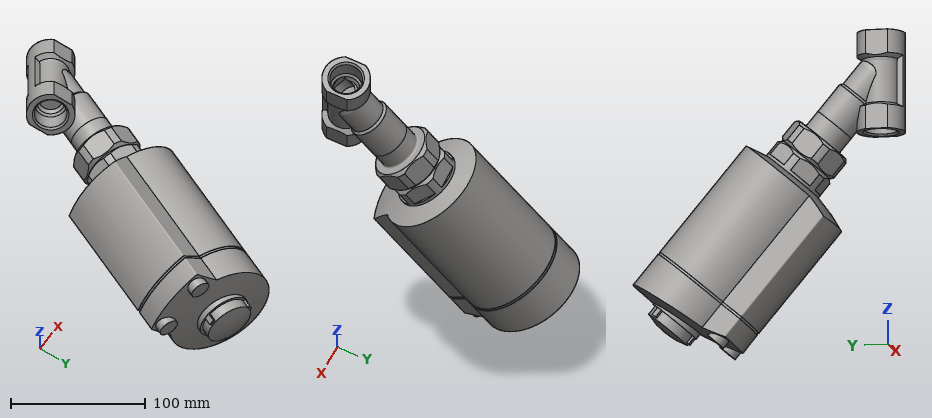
import cadquery as cq
TILT = 40.2

PIPE_CENTRE_Z = -11.6
PIPE_HALF_LENGTH = 37.5
COLLAR_DIA = 36.0
COLLAR_FLATS = 32.0
COLLAR_INNER_Z = 19.7
COLLAR_SLOPE = 2.5
BARREL_DIA = 27.3
SHOULDER_DIA = 28.5
SHOULDER_HEIGHT = 2.5
WEB_WIDTH = 9.0

PORT_DIA = 24.2
PORT_CHAMFER = 1.5
PORT_DEPTH = 15.5
PORT_STEP_DIA = 20.7
PORT_STEP_DEPTH = 17.0
PORT_TIP_DIA = 17.5
PORT_TIP_DEPTH = 20.5
SEAT_DIA = 17.3
SEAT_DEPTH = 2.0
SEAT_HEIGHT = 14.3

NECK_DIA = 28.7
NECK_END_DIA = 26.1
NECK_TOP = 2.0
NECK_CHAMFER_END = 6.7
TUBE_DIA = 32.0
TUBE_STEP_TOP = 27.0
TUBE_STEP_END = 29.0
JOINT_DEPTH = 54.9

HEX_FLATS = 46.0
HEX_ROUND_DIA = 50.0
HEX_CHAMFER = 2.5
BONNET_FILLET = 1.7
NUT_TOP = 69.1
NUT_BOTTOM = 88.4
HOUSING_FLATS_END = 102.2

BODY_DIA = 82.5
BOSS_WIDTH = 59.5
BOSS_REACH = 53.0
BOSS_EDGE_REACH = 47.3
BOSS_FILLET = 1.2
DOME_RADIUS = 142.5
DOME_TOP = 102.5
HEX_COLLAR_END = 110.7
GROOVE_TOP = 210.2
GROOVE_WIDTH = 2.0
GROOVE_INSET = 0.5
CAP_DOME_RADIUS = 216.2
CAP_DOME_OFFSET = 21.0
CAP_DOME_BOTTOM = 242.5

FOOT_DIA = 15.0
FOOT_SPACING = 40.9
FOOT_REACH = 41.0
FOOT_BOTTOM = 236.6

KNOB_TOP = 236.6
KNOB_FLANGE_DIA = 41.3
KNOB_FLANGE_END = 243.3
KNOB_DIA = 37.0
KNOB_EDGE = 251.0
KNOB_BOTTOM = 254.2
RIB_COUNT = 3
RIB_WIDTH = 4.8
RIB_REACH = 20.2
RIB_END = 250.0


def disc(diameter, top, bottom):
    """Cylinder about Z between two depths."""
    return cq.Workplane("XY").workplane(offset=-bottom).circle(diameter / 2).extrude(bottom - top)


def revolved(points):
    """Solid of revolution about Z from an outline of (radius, z) points."""
    return cq.Workplane("XZ").polyline(points).close().revolve(360, (0, 0), (0, 1))


def cone(top_dia, top, bottom_dia, bottom):
    """Truncated cone about Z between two depths."""
    return revolved([(0, -top), (top_dia / 2, -top), (bottom_dia / 2, -bottom), (0, -bottom)])


def ball(radius, centre):
    return cq.Workplane("XY").sphere(radius).translate(centre)


def hexagon(top, bottom, first_corner_angle):
    """Hexagonal prism about Z with one corner in the given direction from +X."""
    prism = cq.Workplane("XY").polygon(6, HEX_FLATS, circumscribed=True).extrude(bottom - top)
    return prism.rotate((0, 0, 0), (0, 0, 1), first_corner_angle).translate((0, 0, -bottom))


def tilted(body):
    return body.rotate((0, 0, 0), (1, 0, 0), TILT)


def collared_pipe():
    collar = COLLAR_DIA / 2
    barrel = BARREL_DIA / 2
    slope_end = COLLAR_INNER_Z - COLLAR_SLOPE
    pipe = revolved([
        (0, -PIPE_HALF_LENGTH),
        (collar, -PIPE_HALF_LENGTH),
        (collar, -COLLAR_INNER_Z),
        (barrel, -slope_end),
        (barrel, slope_end - SHOULDER_HEIGHT),
        (SHOULDER_DIA / 2, slope_end),
        (collar, COLLAR_INNER_Z),
        (collar, PIPE_HALF_LENGTH),
        (0, PIPE_HALF_LENGTH),
    ])
    flats = cq.Workplane("XY").box(COLLAR_FLATS, COLLAR_DIA, 2 * PIPE_HALF_LENGTH)
    web = (
        cq.Workplane("XY")
        .box(WEB_WIDTH, collar, 2 * COLLAR_INNER_Z)
        .translate((0, -collar / 2, 0))
        .intersect(cq.Workplane("XY").circle(collar).extrude(COLLAR_INNER_Z, both=True))
    )
    return pipe.intersect(flats).union(web).translate((0, 0, PIPE_CENTRE_Z))


def neck():
    end = cone(NECK_END_DIA, NECK_TOP, NECK_DIA, NECK_CHAMFER_END)
    straight = disc(NECK_DIA, NECK_CHAMFER_END, TUBE_STEP_TOP)
    step = cone(NECK_DIA, TUBE_STEP_TOP, TUBE_DIA, TUBE_STEP_END)
    tube = disc(TUBE_DIA, TUBE_STEP_END, JOINT_DEPTH)
    return tilted(end.union(straight).union(step).union(tube))


def port():
    """Cutter for the upper port, with its mouth at the top of the pipe."""
    mouth = PIPE_HALF_LENGTH
    bore = PORT_DIA / 2
    return revolved([
        (0, mouth),
        (bore + PORT_CHAMFER, mouth),
        (bore, mouth - PORT_CHAMFER),
        (bore, mouth - PORT_DEPTH),
        (PORT_STEP_DIA / 2, mouth - PORT_STEP_DEPTH),
        (PORT_TIP_DIA / 2, mouth - PORT_TIP_DEPTH),
        (0, mouth - PORT_TIP_DEPTH),
    ])


def seat_pocket():
    """Sloping flat-bottomed pocket at the inner end of the upper port."""
    pocket = tilted(disc(SEAT_DIA, SEAT_DEPTH - SEAT_HEIGHT, SEAT_DEPTH))
    return pocket.intersect(disc(PORT_STEP_DIA, -SEAT_HEIGHT, SEAT_HEIGHT))


def make_valve_body():
    upper_port = port().translate((0, 0, PIPE_CENTRE_Z))
    lower_port = port().mirror("XY").translate((0, 0, PIPE_CENTRE_Z))
    body = collared_pipe().union(neck())
    return body.cut(upper_port).cut(lower_port).cut(seat_pocket())


def make_bonnet():
    inner_dia = HEX_ROUND_DIA - 2 * HEX_CHAMFER
    round_blank = (
        cone(inner_dia, NUT_TOP, HEX_ROUND_DIA, NUT_TOP + HEX_CHAMFER)
        .union(disc(HEX_ROUND_DIA, NUT_TOP + HEX_CHAMFER, NUT_BOTTOM - HEX_CHAMFER))
        .union(cone(HEX_ROUND_DIA, NUT_BOTTOM - HEX_CHAMFER, inner_dia, NUT_BOTTOM))
    )
    nut = round_blank.intersect(hexagon(NUT_TOP, NUT_BOTTOM, 0))
    tube = TUBE_DIA / 2
    spigot = (
        cq.Workplane("XZ")
        .moveTo(0, -JOINT_DEPTH)
        .lineTo(tube, -JOINT_DEPTH)
        .lineTo(tube, -NUT_TOP + BONNET_FILLET)
        .radiusArc((tube + BONNET_FILLET, -NUT_TOP), -BONNET_FILLET)
        .lineTo(0, -NUT_TOP)
        .close()
        .revolve(360, (0, 0), (0, 1))
    )
    return tilted(nut.union(spigot))


def outline(top, bottom, inset=0.0):
    """Round body with a flat-sided boss toward -Y, shrunk evenly by the inset."""
    half_width = BOSS_WIDTH / 2 - inset
    edge = -BOSS_EDGE_REACH + inset
    boss = (
        cq.Workplane("XY")
        .moveTo(-half_width, 0)
        .lineTo(-half_width, edge)
        .threePointArc((0, -BOSS_REACH + inset), (half_width, edge))
        .lineTo(half_width, 0)
        .close()
        .extrude(bottom - top)
        .faces("<Y")
        .edges("|Z")
        .fillet(BOSS_FILLET)
        .translate((0, 0, -bottom))
    )
    return disc(BODY_DIA - 2 * inset, top, bottom).union(boss)


def make_housing():
    dome = ball(DOME_RADIUS, (0, 0, -DOME_TOP - DOME_RADIUS))
    barrel = outline(DOME_TOP, GROOVE_TOP).intersect(dome)
    inner_dia = HEX_ROUND_DIA - 2 * HEX_CHAMFER
    chamfer = cone(inner_dia, NUT_BOTTOM, HEX_ROUND_DIA, NUT_BOTTOM + HEX_CHAMFER)
    flats = chamfer.union(disc(HEX_ROUND_DIA, NUT_BOTTOM + HEX_CHAMFER, HOUSING_FLATS_END))
    flats = flats.intersect(hexagon(NUT_BOTTOM, HOUSING_FLATS_END, 30))
    collar = disc(HEX_ROUND_DIA, HOUSING_FLATS_END, HEX_COLLAR_END)
    return tilted(barrel.union(collar).union(flats))


def feet():
    blank = disc(FOOT_DIA, GROOVE_TOP + GROOVE_WIDTH, FOOT_BOTTOM)
    left = blank.translate((-FOOT_SPACING / 2, -FOOT_REACH, 0))
    return left.union(blank.translate((FOOT_SPACING / 2, -FOOT_REACH, 0)))


def make_cap():
    groove_end = GROOVE_TOP + GROOVE_WIDTH
    dome = ball(CAP_DOME_RADIUS, (0, CAP_DOME_OFFSET, CAP_DOME_RADIUS - CAP_DOME_BOTTOM))
    skirt = outline(groove_end, CAP_DOME_BOTTOM).intersect(dome)
    spigot = outline(GROOVE_TOP, groove_end, GROOVE_INSET)
    recess = disc(KNOB_FLANGE_DIA, KNOB_TOP, CAP_DOME_BOTTOM)
    return tilted(skirt.union(spigot).union(feet()).cut(recess))


def make_knob():
    flange = KNOB_FLANGE_DIA / 2
    radius = KNOB_DIA / 2
    dome_height = KNOB_BOTTOM - KNOB_EDGE
    dome_radius = (radius**2 + dome_height**2) / (2 * dome_height)
    knob = (
        cq.Workplane("XZ")
        .moveTo(0, -KNOB_TOP)
        .lineTo(flange, -KNOB_TOP)
        .lineTo(flange, -KNOB_FLANGE_END)
        .lineTo(radius, -KNOB_FLANGE_END)
        .lineTo(radius, -KNOB_EDGE)
        .radiusArc((0, -KNOB_BOTTOM), dome_radius)
        .close()
        .revolve(360, (0, 0), (0, 1))
    )
    rib = (
        cq.Workplane("XY")
        .box(RIB_WIDTH, RIB_REACH, RIB_END - KNOB_FLANGE_END)
        .translate((0, -RIB_REACH / 2, -(KNOB_FLANGE_END + RIB_END) / 2))
    )
    for index in range(RIB_COUNT):
        knob = knob.union(rib.rotate((0, 0, 0), (0, 0, 1), index * 360 / RIB_COUNT))
    return tilted(knob)


valve_body = make_valve_body()
bonnet = make_bonnet()
housing = make_housing()
cap = make_cap()
knob = make_knob()

result = cq.Compound.makeCompound([
    *valve_body.solids().vals(),
    *bonnet.solids().vals(),
    *housing.solids().vals(),
    *cap.solids().vals(),
    *knob.solids().vals(),
])